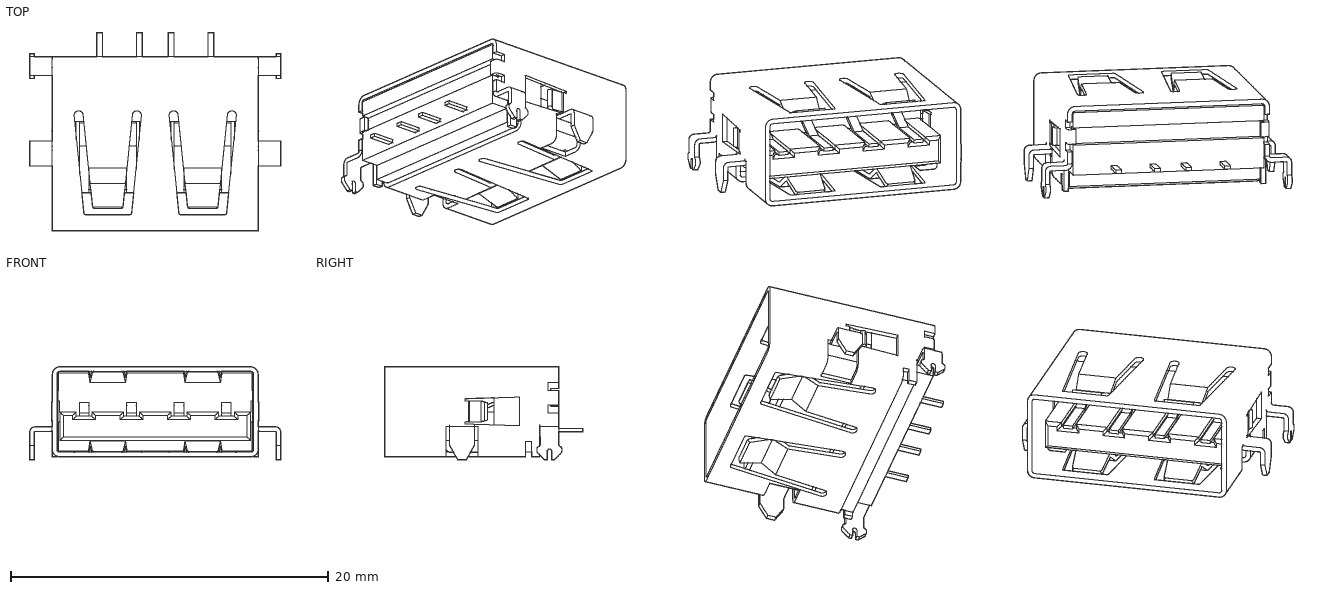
import cadquery as cq
import math


SHEET = 0.3
SHELL_WIDTH = 13.0
SHELL_DEPTH = 11.0
SHELL_HEIGHT = 5.69
SHELL_CORNER = 0.49
HALF_WIDTH = SHELL_WIDTH / 2
INNER_HALF = HALF_WIDTH - SHEET
CLEAR = 0.16

FLOOR_END = 8.89
FLANGE_START = 9.27
FLANGE_END = 9.78
FLANGE_SLOT_TOP = 0.98

FLAP_BOTTOM = 3.27
FLAP_TOP = 4.2
FLAP_LENGTH = 0.55
FLAP_CORNER = 0.19
NOTCH_HEIGHT = 0.49
NOTCH_DEPTH = 0.7

SPRING_X = 3.0
SLOT_FRONT = 1.03
SLOT_ROOT = 7.29
SLOT_FRONT_HALF = 1.49
SLOT_ROOT_HALF = 2.12
SLOT_WIDTH = 0.57
SLOT_CORNER = 0.11
SPRING_BEND = 3.98
SPRING_LOW = 3.0
SPRING_TIP = 1.52
SPRING_DIP = 0.67
SPRING_TIP_DIP = 0.05
SPRING_TIP_CORNER = 0.17

WINDOW_FRONT = 5.07
WINDOW_BACK = 8.51
WINDOW_Z = 2.87
WINDOW_FRONT_HALF = 0.8
WINDOW_BACK_HALF = 0.9
SIDE_SPRING_HALF = 0.67
SIDE_SPRING_TIP_HALF = 0.54
SIDE_SPRING_BEND = 6.09
SIDE_SPRING_PATH = [
    (0.0, WINDOW_FRONT),
    (0.0, 5.3),
    (0.08, 5.35),
    (0.16, SIDE_SPRING_BEND),
    (-0.03, 6.31),
]

LEG_REACH = 7.92
LEG_TOP = 1.9
LEG_BOTTOM = -0.19
LEG_ROOT_RADIUS = 0.11
LEG_RADIUS = 0.35
FRONT_LEG_Y = 4.88
FRONT_LEG_WIDTH = 1.58
FRONT_LEG_TIP_WIDTH = 0.54
LEG_TAPER_Z = 0.73
FRONT_OPENING_WIDTH = 2.01
OPENING_INSET = 1.43
REAR_LEG_Y = 10.4
REAR_LEG_WIDTH = 1.19
REAR_LEG_TIP_WIDTH = 0.63
BARB_WIDTH = 1.58
BARB_TOP = 0.57
BARB_BOTTOM = 0.3
BARB_CORNER = 0.13
LEG_SPLIT_WIDTH = 0.27
LEG_SPLIT_TOP = 0.49

BLOCK_HALF = 6.13
BLOCK_FRONT = 6.9
BLOCK_BOTTOM = 0.38
BLOCK_TOP = 5.3
BLOCK_CORNER = 0.08
REAR_UNDERSIDE = 1.27
CHANNEL_BOTTOM = 3.2
CHANNEL_TOP = 4.31
CHANNEL_DEPTH = 0.5
TONGUE_HALF = 6.02
TONGUE_FRONT = 2.4
TONGUE_BOTTOM = 1.03
TONGUE_TOP = 2.84
TONGUE_CHAMFER = 0.22
POCKET_WIDTH = 0.98
POCKET_FLOOR = 2.57

CONTACT_PITCH = 3.0
CONTACT_WIDTH = 0.6
CONTACT_THICKNESS = 0.2
CONTACT_RAMP_START = 5.34
CONTACT_RAMP_END = 6.8
CONTACT_REAR_TOP = 3.44
SEAT_DEPTH = 0.48
TAIL_XS = [-3.5, -1.0, 1.0, 3.5]
TAIL_WIDTH = 0.38
TAIL_BOTTOM = 1.58
TAIL_END = 12.5


def block(x_range, y_range, z_range):
    """Box between two limits on each axis."""
    size = [high - low for low, high in (x_range, y_range, z_range)]
    return cq.Workplane("XY").box(*size, centered=False).translate((x_range[0], y_range[0], z_range[0]))


def side_prism(points, x_from, x_to):
    """Prism along X of an outline of (Y, Z) points."""
    return cq.Workplane("YZ").workplane(offset=x_from).polyline(points).close().extrude(x_to - x_from)


def both_sides(body):
    """The body together with its mirror image across the middle plane X = 0."""
    return body.union(body.mirror("YZ"))


def strip_outline(path, thickness):
    """Outline of a bent strip: the path, and the path moved to its left with mitred bends."""
    headings = []
    for (u0, v0), (u1, v1) in zip(path, path[1:]):
        headings.append(math.atan2(v1 - v0, u1 - u0))
    inner = []
    for i, (u, v) in enumerate(path):
        before = headings[max(i - 1, 0)]
        after = headings[min(i, len(headings) - 1)]
        normal = (before + after) / 2 + math.pi / 2
        reach = thickness / math.cos((after - before) / 2)
        inner.append((u + reach * math.cos(normal), v + reach * math.sin(normal)))
    return path + inner[::-1]


def arc_point(center, radius, degrees):
    angle = math.radians(degrees)
    return (center[0] + radius * math.cos(angle), center[1] + radius * math.sin(angle))



def shell_tube():
    outer = block((-HALF_WIDTH, HALF_WIDTH), (0, SHELL_DEPTH), (0, SHELL_HEIGHT))
    outer = outer.edges("|Y").fillet(SHELL_CORNER)
    inner = block((-INNER_HALF, INNER_HALF), (0, SHELL_DEPTH), (SHEET, SHELL_HEIGHT - SHEET))
    inner = inner.edges("|Y").fillet(SHELL_CORNER - SHEET)
    return outer.cut(inner)


def open_shell_back(shell):
    """Remove the floor and the lower corners at the back, leaving a straight flange on each side."""
    width = (-HALF_WIDTH - CLEAR, HALF_WIDTH + CLEAR)
    shell = shell.cut(block(width, (FLOOR_END, SHELL_DEPTH), (-CLEAR, FLANGE_SLOT_TOP)))
    flange = block((INNER_HALF, HALF_WIDTH), (FLANGE_START, FLANGE_END), (0, FLANGE_SLOT_TOP))
    return shell.union(both_sides(flange))


def add_flaps(shell):
    width = (-HALF_WIDTH - CLEAR, HALF_WIDTH + CLEAR)
    notch_y = (SHELL_DEPTH - NOTCH_DEPTH, SHELL_DEPTH)
    for bottom in (FLAP_TOP, FLAP_BOTTOM - NOTCH_HEIGHT):
        shell = shell.cut(block(width, notch_y, (bottom, bottom + NOTCH_HEIGHT)))
    flap_x = (HALF_WIDTH - FLAP_LENGTH, HALF_WIDTH)
    flap_z = (FLAP_BOTTOM, FLAP_TOP)
    flap = block(flap_x, (SHELL_DEPTH - SHEET, SHELL_DEPTH), flap_z)
    corner = block((HALF_WIDTH - SHEET, HALF_WIDTH), (SHELL_DEPTH - SHEET, SHELL_DEPTH), flap_z)
    shell = shell.cut(both_sides(corner))
    return shell.union(both_sides(flap.edges("|Z and >X and >Y").fillet(FLAP_CORNER)))


def spring_slot():
    """Cutter through roof and floor for one plug spring: a trapezoid with two round root ends."""
    height = SHELL_HEIGHT + 2 * CLEAR
    outline = [
        (-SLOT_FRONT_HALF, SLOT_FRONT),
        (SLOT_FRONT_HALF, SLOT_FRONT),
        (SLOT_ROOT_HALF, SLOT_ROOT),
        (-SLOT_ROOT_HALF, SLOT_ROOT),
    ]
    base = cq.Workplane("XY").workplane(offset=-CLEAR)
    slot = base.polyline(outline).close().extrude(height)
    slot = slot.edges("|Z and <Y").fillet(SLOT_CORNER)
    end_x = SLOT_ROOT_HALF - SLOT_WIDTH / 2
    ends = base.pushPoints([(-end_x, SLOT_ROOT), (end_x, SLOT_ROOT)]).circle(SLOT_WIDTH / 2).extrude(height)
    return slot.union(ends)


def roof_spring():
    """One plug spring of the roof, flat at its root, dipping and rising again to its tip."""
    path = [
        (SLOT_ROOT, SHELL_HEIGHT),
        (SPRING_BEND, SHELL_HEIGHT),
        (SPRING_LOW, SHELL_HEIGHT - SPRING_DIP),
        (SPRING_TIP, SHELL_HEIGHT - SPRING_TIP_DIP),
    ]
    strip = side_prism(strip_outline(path, SHEET), -SLOT_ROOT_HALF, SLOT_ROOT_HALF)
    tip_y = strip.val().BoundingBox().ymin
    root_half = SLOT_ROOT_HALF - SLOT_WIDTH
    taper = (SLOT_ROOT_HALF - SLOT_FRONT_HALF) / (SLOT_ROOT - SLOT_FRONT)
    tip_half = root_half - taper * (SLOT_ROOT - tip_y)
    outline = [(-tip_half, tip_y), (tip_half, tip_y), (root_half, SLOT_ROOT), (-root_half, SLOT_ROOT)]
    plan = cq.Workplane("XY").polyline(outline).close().extrude(SHELL_HEIGHT)
    return strip.intersect(plan.edges("|Z and <Y").fillet(SPRING_TIP_CORNER))


def add_plug_springs(shell):
    spring = roof_spring()
    floor_spring = spring.mirror("XY", (0, 0, SHELL_HEIGHT / 2))
    for x in (-SPRING_X, SPRING_X):
        shell = shell.cut(spring_slot().translate((x, 0, 0)))
        shell = shell.union(spring.translate((x, 0, 0)))
        shell = shell.union(floor_spring.translate((x, 0, 0)))
    return shell


def add_side_springs(shell):
    window = [
        (WINDOW_FRONT, WINDOW_Z - WINDOW_FRONT_HALF),
        (WINDOW_BACK, WINDOW_Z - WINDOW_BACK_HALF),
        (WINDOW_BACK, WINDOW_Z + WINDOW_BACK_HALF),
        (WINDOW_FRONT, WINDOW_Z + WINDOW_FRONT_HALF),
    ]
    shell = shell.cut(side_prism(window, -HALF_WIDTH - CLEAR, HALF_WIDTH + CLEAR))
    path = [(HALF_WIDTH - inward, y) for inward, y in SIDE_SPRING_PATH]
    strip = cq.Workplane("XY").polyline(strip_outline(path, SHEET)).close().extrude(SHELL_HEIGHT)
    tip_y = strip.val().BoundingBox().ymax
    outline = [
        (WINDOW_FRONT, WINDOW_Z - SIDE_SPRING_HALF),
        (SIDE_SPRING_BEND, WINDOW_Z - SIDE_SPRING_HALF),
        (tip_y, WINDOW_Z - SIDE_SPRING_TIP_HALF),
        (tip_y, WINDOW_Z + SIDE_SPRING_TIP_HALF),
        (SIDE_SPRING_BEND, WINDOW_Z + SIDE_SPRING_HALF),
        (WINDOW_FRONT, WINDOW_Z + SIDE_SPRING_HALF),
    ]
    spring = strip.intersect(side_prism(outline, 0, HALF_WIDTH + CLEAR))
    return shell.union(both_sides(spring))


def leg_blank(y_center, width):
    """Sheet bent out of the right wall and down again, before its tip is trimmed."""
    root = (HALF_WIDTH + LEG_ROOT_RADIUS, LEG_TOP + LEG_ROOT_RADIUS)
    root_outer = LEG_ROOT_RADIUS + SHEET
    knee = (LEG_REACH - LEG_RADIUS, LEG_TOP - LEG_RADIUS)
    knee_inner = LEG_RADIUS - SHEET
    profile = (
        cq.Workplane("XZ")
        .moveTo(INNER_HALF, root[1])
        .threePointArc(arc_point(root, root_outer, 225), (root[0], LEG_TOP - SHEET))
        .lineTo(knee[0], LEG_TOP - SHEET)
        .threePointArc(arc_point(knee, knee_inner, 45), (LEG_REACH - SHEET, knee[1]))
        .lineTo(LEG_REACH - SHEET, LEG_BOTTOM)
        .lineTo(LEG_REACH, LEG_BOTTOM)
        .lineTo(LEG_REACH, knee[1])
        .threePointArc(arc_point(knee, LEG_RADIUS, 45), (knee[0], LEG_TOP))
        .lineTo(root[0], LEG_TOP)
        .threePointArc(arc_point(root, LEG_ROOT_RADIUS, 225), (HALF_WIDTH, root[1]))
        .close()
    )
    return profile.extrude(width / 2, both=True).translate((0, y_center, 0))


def tapered_leg_face(y_center, half_widths):
    """Symmetric prism along X with the given (half width, Z) points on each side, top first."""
    left = [(y_center - half, z) for half, z in half_widths]
    right = [(y_center + half, z) for half, z in half_widths]
    return side_prism(left + right[::-1], INNER_HALF - CLEAR, LEG_REACH + CLEAR)


def front_leg():
    half = FRONT_LEG_WIDTH / 2
    face = tapered_leg_face(FRONT_LEG_Y, [
        (half, SHELL_HEIGHT),
        (half, LEG_TAPER_Z),
        (FRONT_LEG_TIP_WIDTH / 2, LEG_BOTTOM),
    ])
    return leg_blank(FRONT_LEG_Y, FRONT_LEG_WIDTH).intersect(face)


def rear_leg():
    """Split leg with a barb on each side of its tip."""
    half = REAR_LEG_WIDTH / 2
    tip = tapered_leg_face(REAR_LEG_Y, [
        (half, LEG_TAPER_Z),
        (BARB_WIDTH / 2, BARB_TOP),
        (BARB_WIDTH / 2, BARB_BOTTOM),
        (REAR_LEG_TIP_WIDTH / 2, LEG_BOTTOM),
    ])
    tip = tip.edges("|X").edges("<Y or >Y").fillet(BARB_CORNER)
    above_tip = block((0, LEG_REACH), (0, SHELL_DEPTH), (LEG_TAPER_Z, SHELL_HEIGHT))
    upper = leg_blank(REAR_LEG_Y, REAR_LEG_WIDTH).intersect(above_tip)
    leg = upper.union(leg_blank(REAR_LEG_Y, BARB_WIDTH).intersect(tip))
    radius = LEG_SPLIT_WIDTH / 2
    split = (
        cq.Workplane("YZ")
        .moveTo(REAR_LEG_Y - radius, LEG_BOTTOM)
        .lineTo(REAR_LEG_Y + radius, LEG_BOTTOM)
        .lineTo(REAR_LEG_Y + radius, LEG_SPLIT_TOP - radius)
        .threePointArc((REAR_LEG_Y, LEG_SPLIT_TOP), (REAR_LEG_Y - radius, LEG_SPLIT_TOP - radius))
        .close()
        .extrude(LEG_REACH + CLEAR)
    )
    return leg.cut(split)


def add_legs(shell):
    root_z = LEG_TOP + LEG_ROOT_RADIUS
    opening_x = (HALF_WIDTH - OPENING_INSET, HALF_WIDTH + CLEAR)
    opening_half = FRONT_OPENING_WIDTH / 2
    leg_half = FRONT_LEG_WIDTH / 2
    openings = [
        ((FRONT_LEG_Y - opening_half, FRONT_LEG_Y + opening_half), LEG_TOP),
        ((FRONT_LEG_Y - leg_half, FRONT_LEG_Y + leg_half), root_z),
        ((FLANGE_END, SHELL_DEPTH), root_z),
    ]
    for y_range, top in openings:
        shell = shell.cut(both_sides(block(opening_x, y_range, (-CLEAR, top))))
    return shell.union(both_sides(front_leg())).union(both_sides(rear_leg()))


def make_shell():
    shell = open_shell_back(shell_tube())
    shell = add_flaps(shell)
    shell = add_plug_springs(shell)
    shell = add_side_springs(shell)
    return add_legs(shell)



def make_contact(x):
    """Flat blade in the tongue that ramps up into the housing block."""
    blade_top = POCKET_FLOOR + CONTACT_THICKNESS
    path = [
        (BLOCK_FRONT + SEAT_DEPTH, CONTACT_REAR_TOP),
        (CONTACT_RAMP_END, CONTACT_REAR_TOP),
        (CONTACT_RAMP_START, blade_top),
        (TONGUE_FRONT, blade_top),
    ]
    half = CONTACT_WIDTH / 2
    return side_prism(strip_outline(path, CONTACT_THICKNESS), x - half, x + half)


def make_tail(x):
    half = TAIL_WIDTH / 2
    y_range = (SHELL_DEPTH - SEAT_DEPTH, TAIL_END)
    return block((x - half, x + half), y_range, (TAIL_BOTTOM, TAIL_BOTTOM + CONTACT_THICKNESS))



def housing_block():
    body = block((-BLOCK_HALF, BLOCK_HALF), (BLOCK_FRONT, SHELL_DEPTH), (BLOCK_BOTTOM, BLOCK_TOP))
    body = body.edges("|Y").fillet(BLOCK_CORNER)
    full_width = (-BLOCK_HALF, BLOCK_HALF)
    foot = block(full_width, (FLOOR_END, FLANGE_END), (SHEET, REAR_UNDERSIDE))
    undercut = block(full_width, (FLANGE_END, SHELL_DEPTH), (0, REAR_UNDERSIDE))
    channel_y = (SHELL_DEPTH - CHANNEL_DEPTH, SHELL_DEPTH)
    flap_channel = block(full_width, channel_y, (CHANNEL_BOTTOM, CHANNEL_TOP))
    return body.union(foot).cut(undercut).cut(flap_channel)


def contact_pocket(x):
    """Open-fronted pocket in the tongue, widening by the chamfer at its mouth."""
    half = POCKET_WIDTH / 2
    pocket = block((x - half, x + half), (TONGUE_FRONT, BLOCK_FRONT), (POCKET_FLOOR, TONGUE_TOP))
    flare = TONGUE_CHAMFER
    mouth_height = TONGUE_TOP - POCKET_FLOOR + flare
    mouth = (
        cq.Workplane("XZ", origin=(x, TONGUE_FRONT, TONGUE_TOP - mouth_height / 2))
        .rect(POCKET_WIDTH + 2 * flare, mouth_height)
        .workplane(offset=-flare)
        .center(0, flare / 2)
        .rect(POCKET_WIDTH, mouth_height - flare)
        .loft(ruled=True)
    )
    return pocket.union(mouth)


def make_housing(contact_xs, inserts):
    tongue = block((-TONGUE_HALF, TONGUE_HALF), (TONGUE_FRONT, BLOCK_FRONT), (TONGUE_BOTTOM, TONGUE_TOP))
    tongue = tongue.faces("<Y").edges().chamfer(TONGUE_CHAMFER)
    for x in contact_xs:
        tongue = tongue.cut(contact_pocket(x))
    housing = tongue.union(housing_block())
    for insert in inserts:
        housing = housing.cut(insert)
    return housing


contact_xs = [CONTACT_PITCH * step for step in (-1.5, -0.5, 0.5, 1.5)]
contacts = [make_contact(x) for x in contact_xs]
tails = [make_tail(x) for x in TAIL_XS]
housing = make_housing(contact_xs, contacts + tails)
shell = make_shell()

result = cq.Compound.makeCompound([
    shell.solids().val(),
    housing.solids().val(),
    *[contact.val() for contact in contacts],
    *[tail.val() for tail in tails],
])